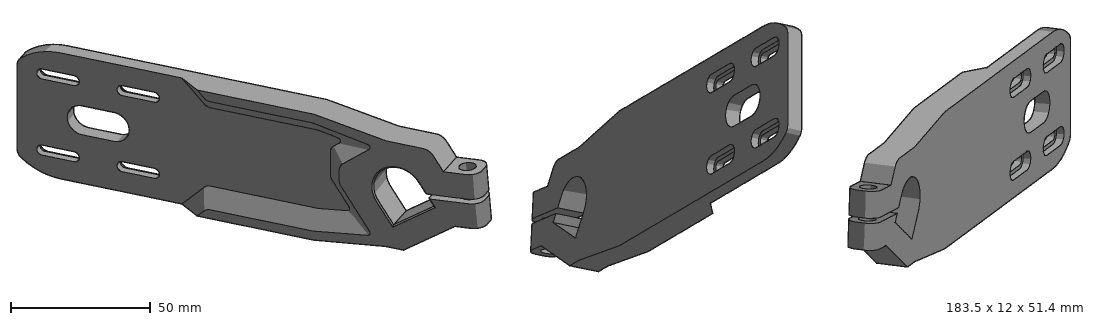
import cadquery as cq
import math

LENGTH = 183.5
THICKNESS = 12.0
HALF_WIDTH = 25.7

END_ARC_RADIUS = 25.0
END_ARC_START = 17.0
END_CORNER_RADIUS = 4.0

NECK_START = 118.0
NECK_END = 146.0
HEAD_TOP = 21.0
HEAD_BOTTOM = -22.2
NECK_FILLET = 5.5
SHOULDER_FILLET = 5.0

BORE_CENTRE = (150.6, 1.1)
BORE_WIDTH = 19.0
BORE_DEPTH = 10.5
BORE_TILT = 35.0
BORE_CHAMFER = 0.5
UPPER_WALL = 12.0
LOWER_WALL = 9.9

JAW_TILT = 5.0
JAW_DROP = 0.4
JAW_HEIGHT = 21.7
SLIT_WIDTH = 1.8
TIP_ROUNDING = 4.4
SCREW_DIAMETER = 6.2
SCREW_INSET = 6.5

SLOT_GROUP_X = 31.5
SMALL_SLOT_LENGTH = 16.5
SMALL_SLOT_WIDTH = 4.0
RECESS_MARGIN = 1.5
LIP_THICKNESS = 3.0
SMALL_SLOT_PITCH_X = 31.2
SMALL_SLOT_PITCH_Z = 31.0
LARGE_SLOT_LENGTH = 24.0
LARGE_SLOT_WIDTH = 11.7

POCKET_DEPTH = 6.0
POCKET_START = 76.3
POCKET_BEND = 117.6
RIM_WIDTH = 3.7
NOSE_X = 127.9
NOSE_TOP = 6.8
NOSE_BOTTOM = -0.4
UPPER_TIP = (141.3, 17.5)
LOWER_TIP = (140.7, -18.9)
RIDGE_FILLET = 5.0
TIP_FILLET = 1.8

CLEARANCE = 11.0
CORNER_REACH = 1.8


def along(point, angle, distance):
    """Point in the XZ plane at a distance from another, in a direction given in degrees from +X."""
    turn = math.radians(angle)
    return (point[0] + distance * math.cos(turn), point[1] + distance * math.sin(turn))


def crossing(first, first_angle, second, second_angle):
    """Crossing of two lines in the XZ plane, each given by a point and a direction in degrees."""
    a = math.radians(first_angle)
    b = math.radians(second_angle)
    dx = second[0] - first[0]
    dz = second[1] - first[1]
    return along(first, first_angle, (dx * math.sin(b) - dz * math.cos(b)) / math.sin(b - a))


def fillet_through(shape, radius, points):
    """Round the edges whose middles lie nearest to the given points."""
    for point in points:
        shape = shape.edges(cq.selectors.NearestToPointSelector(point)).fillet(radius)
    return shape


def leaning_plane(centre, angle):
    """Back-face sketch at a point, turned by an angle in degrees."""
    return cq.Workplane("XZ").transformed(offset=(*centre, 0), rotate=(0, 0, angle))


DOWN_BORE = BORE_TILT - 90
jaw_axis = along(BORE_CENTRE, JAW_TILT - 90, JAW_DROP)
jaw_underside = along(jaw_axis, JAW_TILT - 90, JAW_HEIGHT / 2)
lower_tip = crossing(jaw_underside, JAW_TILT, (LENGTH, 0), 90)
upper_tip = along(lower_tip, JAW_TILT + 90, JAW_HEIGHT)
tip_middle = along(lower_tip, JAW_TILT + 90, JAW_HEIGHT / 2)


def end_points():
    """Upper rounded end: corner start, corner middle, joint of the arcs, long arc middle and end."""
    long_centre = (END_ARC_START, HALF_WIDTH - END_ARC_RADIUS)
    centre_gap = END_ARC_RADIUS - END_CORNER_RADIUS
    rise = math.sqrt(centre_gap**2 - (END_ARC_START - END_CORNER_RADIUS) ** 2)
    corner_centre = (END_CORNER_RADIUS, long_centre[1] + rise)
    joint_angle = 180 - math.degrees(math.asin(rise / centre_gap))
    return [
        (0, corner_centre[1]),
        along(corner_centre, (180 + joint_angle) / 2, END_CORNER_RADIUS),
        along(long_centre, joint_angle, END_ARC_RADIUS),
        along(long_centre, (90 + joint_angle) / 2, END_ARC_RADIUS),
        (END_ARC_START, HALF_WIDTH),
    ]


def body():
    upper = end_points()
    lower = [(x, -z) for x, z in upper]
    upper_wall = along(BORE_CENTRE, BORE_TILT, BORE_WIDTH / 2 + UPPER_WALL)
    lower_wall = along(BORE_CENTRE, DOWN_BORE, BORE_DEPTH + LOWER_WALL)
    shoulder = crossing((0, HEAD_TOP), 0, upper_wall, DOWN_BORE)
    neck_corners = [
        (NECK_START, HALF_WIDTH),
        (NECK_END, HEAD_TOP),
        (NECK_END, HEAD_BOTTOM),
        (NECK_START, -HALF_WIDTH),
    ]
    solid = (
        cq.Workplane("XZ")
        .moveTo(*upper[0])
        .threePointArc(upper[1], upper[2])
        .threePointArc(upper[3], upper[4])
        .lineTo(*neck_corners[0])
        .lineTo(*neck_corners[1])
        .lineTo(*shoulder)
        .lineTo(*crossing(upper_wall, DOWN_BORE, upper_tip, JAW_TILT))
        .lineTo(*upper_tip)
        .lineTo(*lower_tip)
        .lineTo(*crossing(lower_wall, BORE_TILT, lower_tip, JAW_TILT))
        .lineTo(*crossing(lower_wall, BORE_TILT, (0, HEAD_BOTTOM), 0))
        .lineTo(*neck_corners[2])
        .lineTo(*neck_corners[3])
        .lineTo(*lower[4])
        .threePointArc(lower[3], lower[2])
        .threePointArc(lower[1], lower[0])
        .close()
        .extrude(THICKNESS)
    )
    solid = fillet_through(solid, NECK_FILLET, [(x, -THICKNESS / 2, z) for x, z in neck_corners])
    solid = fillet_through(solid, SHOULDER_FILLET, [(shoulder[0], -THICKNESS / 2, shoulder[1])])
    return fillet_through(solid, TIP_ROUNDING, [(tip_middle[0], y, tip_middle[1]) for y in (0, -THICKNESS)])


def sloping_edges(shape, corners):
    """Edges that run from the given rim corners down to the pocket floor."""
    found = []
    for edge in shape.edges("not #Y").vals():
        rim_end = min(edge.startPoint(), edge.endPoint(), key=lambda end: end.y)
        if any(math.dist((rim_end.x, rim_end.z), corner) < CORNER_REACH for corner in corners):
            found.append(edge)
    return found


def pocket():
    rim_z = HALF_WIDTH - RIM_WIDTH
    outer_z = HALF_WIDTH + CLEARANCE
    ramp_x = POCKET_START - (outer_z - rim_z)
    rim = [
        (-CLEARANCE, outer_z),
        (ramp_x, outer_z),
        (POCKET_START, rim_z),
        (POCKET_BEND, rim_z),
        UPPER_TIP,
        (NOSE_X, NOSE_TOP),
        (NOSE_X, NOSE_BOTTOM),
        LOWER_TIP,
        (POCKET_BEND, -rim_z),
        (POCKET_START, -rim_z),
        (ramp_x, -outer_z),
        (-CLEARANCE, -outer_z),
    ]
    rim_wire = cq.Workplane("XZ", origin=(0, -THICKNESS, 0)).polyline(rim).close().wire().val()
    floor_wire = rim_wire.offset2D(-POCKET_DEPTH, "intersection")[0].translate((0, POCKET_DEPTH, 0))
    shape = cq.Workplane(cq.Solid.makeLoft([rim_wire, floor_wire], True))
    ridges = rim[2:4] + rim[5:7] + rim[8:10]
    shape = shape.newObject(sloping_edges(shape, ridges)).fillet(RIDGE_FILLET)
    return shape.newObject(sloping_edges(shape, [UPPER_TIP, LOWER_TIP])).fillet(TIP_FILLET)


def bore():
    radius = BORE_WIDTH / 2
    return (
        leaning_plane(BORE_CENTRE, BORE_TILT)
        .moveTo(-radius, -BORE_DEPTH)
        .lineTo(-radius, 0)
        .threePointArc((0, radius), (radius, 0))
        .lineTo(radius, -BORE_DEPTH)
        .close()
        .extrude(THICKNESS)
    )


def slit():
    reach = LENGTH - BORE_CENTRE[0] + CLEARANCE
    return leaning_plane(jaw_axis, JAW_TILT).center(reach / 2, 0).rect(reach, SLIT_WIDTH).extrude(THICKNESS)


def screw_hole():
    on_underside = along(lower_tip, JAW_TILT + 180, SCREW_INSET)
    start = along(on_underside, JAW_TILT - 90, CLEARANCE)
    direction = along((0, 0), JAW_TILT + 90, 1)
    return cq.Solid.makeCylinder(
        SCREW_DIAMETER / 2,
        JAW_HEIGHT + 2 * CLEARANCE,
        cq.Vector(start[0], -THICKNESS / 2, start[1]),
        cq.Vector(direction[0], 0, direction[1]),
    )


def small_slots(margin, depth):
    """Four slots sunk from the back face, widened all round by a margin."""
    return (
        cq.Workplane("XZ")
        .center(SLOT_GROUP_X, 0)
        .rarray(SMALL_SLOT_PITCH_X, SMALL_SLOT_PITCH_Z, 2, 2)
        .slot2D(SMALL_SLOT_LENGTH + 2 * margin, SMALL_SLOT_WIDTH + 2 * margin)
        .extrude(depth)
    )


def slots():
    large = (
        cq.Workplane("XZ")
        .center(SLOT_GROUP_X, 0)
        .slot2D(LARGE_SLOT_LENGTH, LARGE_SLOT_WIDTH)
        .extrude(THICKNESS)
    )
    recess_depth = THICKNESS - POCKET_DEPTH - LIP_THICKNESS
    return large.union(small_slots(0, THICKNESS)).union(small_slots(RECESS_MARGIN, recess_depth))


def bore_mouth_edges(solid):
    """Edges of the bore at the front face: those no farther from its centre than its square corners."""
    corner_reach = math.hypot(BORE_WIDTH / 2, BORE_DEPTH)

    def in_bore(edge):
        middle = edge.positionAt(0.5)
        return math.dist((middle.x, middle.z), BORE_CENTRE) < corner_reach

    return solid.faces("<Y").edges().filter(in_bore)


arm = body().cut(pocket()).cut(slots()).cut(bore())
arm = bore_mouth_edges(arm).chamfer(BORE_CHAMFER)
result = arm.cut(slit()).cut(screw_hole())